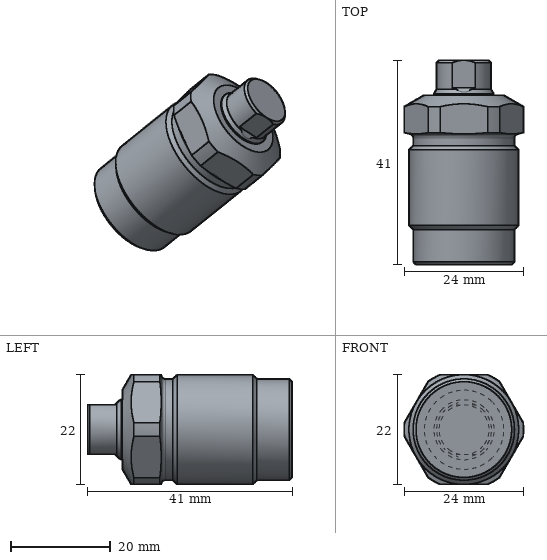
import cadquery as cq
import math

total_length = 41.0

barrel_diameter = 22.0
barrel_radius = barrel_diameter / 2
neck_radius = 10.15
shoulder = barrel_radius - neck_radius
end_chamfer = 0.57
barrel_start = 7.05
barrel_end = 23.9
groove_end = 25.4
groove_fillet = 0.78

hex_across_flats = 22.0
hex_corner_diameter = 24.0
hex_corner_radius = hex_corner_diameter / 2
under_bevel_angle = math.radians(15)
fillet_sweep = math.pi / 2 - under_bevel_angle
top_bevel_angle = math.radians(30)
hex_top = 34.05
hex_top_radius = 7.95

collar_radius = 6.03
collar_top = 34.28

stub_radius = 5.5
stub_chamfer = 0.5
stub_foot_top = 35.18
stub_across_flats = 10.0
flat_end = 35.45


def revolve_about_y(profile):
    """Turn a closed half profile, drawn as (radius, Y), about the Y axis."""
    return profile.close().revolve(360, (0, 0, 0), (0, 1, 0))


def groove_arc_point(angle):
    """Point on the groove fillet, at an angle swept up from the groove wall."""
    radius = neck_radius + groove_fillet * (1 - math.cos(angle))
    return radius, groove_end + groove_fillet * math.sin(angle)


def make_barrel():
    """Turned barrel and relief groove, up to the underside of the hexagon."""
    fillet_top = groove_arc_point(fillet_sweep)
    return revolve_about_y(
        cq.Workplane("XY")
        .moveTo(0, 0)
        .lineTo(neck_radius - end_chamfer, 0)
        .lineTo(neck_radius, end_chamfer)
        .lineTo(neck_radius, barrel_start)
        .lineTo(barrel_radius, barrel_start + shoulder)
        .lineTo(barrel_radius, barrel_end - shoulder)
        .lineTo(neck_radius, barrel_end)
        .lineTo(neck_radius, groove_end)
        .threePointArc(groove_arc_point(fillet_sweep / 2), fillet_top)
        .lineTo(0, fillet_top[1])
    )


def make_hexagon():
    """Hexagonal prism cut by a turned blank that rounds the corners and bevels both faces."""
    bottom_radius, bottom = groove_arc_point(fillet_sweep)
    corner_bottom = bottom + (hex_corner_radius - bottom_radius) * math.tan(under_bevel_angle)
    corner_top = hex_top - (hex_corner_radius - hex_top_radius) * math.tan(top_bevel_angle)
    blank = revolve_about_y(
        cq.Workplane("XY")
        .moveTo(0, bottom)
        .lineTo(bottom_radius, bottom)
        .lineTo(hex_corner_radius, corner_bottom)
        .lineTo(hex_corner_radius, corner_top)
        .lineTo(hex_top_radius, hex_top)
        .lineTo(0, hex_top)
    )
    corner_to_corner = hex_across_flats / math.cos(math.radians(30))
    prism = cq.Workplane("XZ").polygon(6, corner_to_corner).extrude(-total_length)
    return blank.intersect(prism)


def make_housing():
    """Barrel, hexagon and collar as one solid."""
    collar_height = collar_top - hex_top
    collar = cq.Workplane("XZ", origin=(0, hex_top, 0)).circle(collar_radius).extrude(-collar_height)
    hexagon = make_hexagon().union(collar)
    return hexagon.union(make_barrel())


def make_stub():
    """Round stub with a conical foot and two flats, standing on the housing collar."""
    stub = revolve_about_y(
        cq.Workplane("XY")
        .moveTo(0, collar_top)
        .lineTo(collar_radius, collar_top)
        .lineTo(stub_radius, stub_foot_top)
        .lineTo(stub_radius, total_length - stub_chamfer)
        .lineTo(stub_radius - stub_chamfer, total_length)
        .lineTo(0, total_length)
    )
    half_flats = stub_across_flats / 2
    runout = flat_end - collar_top
    outer = half_flats + runout
    for side in (-1, 1):
        waste = (
            cq.Workplane("YZ")
            .moveTo(total_length, side * half_flats)
            .lineTo(flat_end, side * half_flats)
            .lineTo(collar_top, side * outer)
            .lineTo(total_length, side * outer)
            .close()
            .extrude(collar_radius, both=True)
        )
        stub = stub.cut(waste)
    return stub


housing = make_housing()
stub = make_stub()

result = cq.Compound.makeCompound([housing.val(), stub.val()])